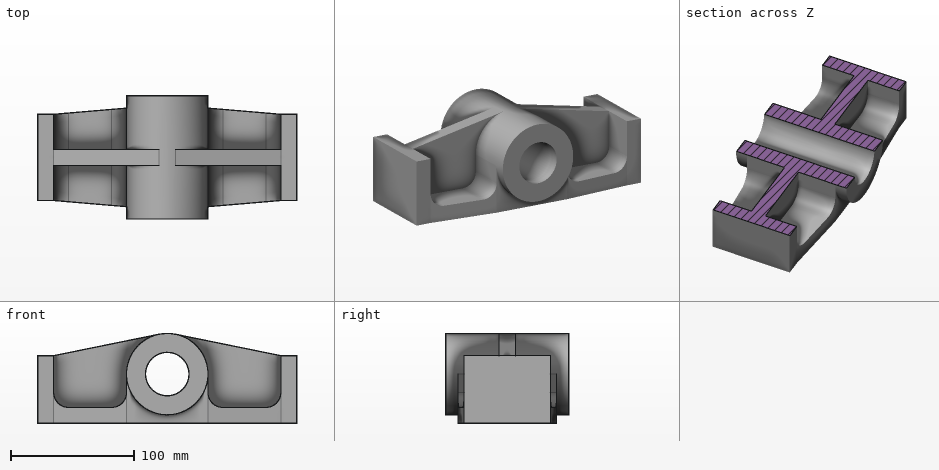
import cadquery as cq
import math

total_length = 210.0
wall = 13.0
plate_width = 70.0
plate_height = 55.0
boss_diameter = 66.0
boss_length = 100.0
bore_diameter = 35.0
bore_height = 40.0
saddle_width = 80.0
fillet_radius = 12.0

half_length = total_length / 2
plate_inner_x = half_length - wall
boss_radius = boss_diameter / 2
pocket_floor_z = wall
fillet_top_z = pocket_floor_z + fillet_radius


def cylinder_along_y(diameter, length):
    """Cylinder on the bore axis, centred on Y = 0."""
    return (
        cq.Workplane("XZ", origin=(0, length / 2, bore_height))
        .circle(diameter / 2)
        .extrude(length)
    )


def end_plate(side):
    """Upright plate at one end; side is -1 or +1."""
    return (
        cq.Workplane("XY")
        .center(side * (half_length - wall / 2), 0)
        .rect(wall, plate_width)
        .extrude(plate_height)
    )


def tapered_base():
    """Floor, saddle block and corner fillets, narrowing in plan towards the end plates."""
    fillet_mid = fillet_radius * (1 - math.sqrt(0.5))
    fillet_mid_z = pocket_floor_z + fillet_mid

    profile = (
        cq.Workplane("XZ")
        .moveTo(plate_inner_x, 0)
        .lineTo(plate_inner_x, fillet_top_z)
        .threePointArc(
            (plate_inner_x - fillet_mid, fillet_mid_z),
            (plate_inner_x - fillet_radius, pocket_floor_z),
        )
        .lineTo(boss_radius + fillet_radius, pocket_floor_z)
        .threePointArc(
            (boss_radius + fillet_mid, fillet_mid_z),
            (boss_radius, fillet_top_z),
        )
        .lineTo(boss_radius, bore_height)
        .lineTo(0, bore_height)
        .lineTo(0, 0)
        .close()
        .extrude(saddle_width / 2, both=True)
    )
    plan = (
        cq.Workplane("XY")
        .moveTo(0, saddle_width / 2)
        .lineTo(boss_radius, saddle_width / 2)
        .lineTo(plate_inner_x, plate_width / 2)
        .lineTo(plate_inner_x, -plate_width / 2)
        .lineTo(boss_radius, -saddle_width / 2)
        .lineTo(0, -saddle_width / 2)
        .close()
        .extrude(bore_height)
    )
    half_base = profile.intersect(plan)
    return half_base.union(half_base.mirror("YZ"))


def center_rib():
    """Web along Y = 0; its top slopes are tangent to the boss and its middle lies inside the boss."""
    rise = plate_height - bore_height
    corner_distance = math.hypot(plate_inner_x, rise)
    tangent_angle = math.atan2(rise, plate_inner_x) + math.acos(boss_radius / corner_distance)
    tangent_x = boss_radius * math.cos(tangent_angle)
    tangent_z = bore_height + boss_radius * math.sin(tangent_angle)

    return (
        cq.Workplane("XZ")
        .moveTo(-plate_inner_x, 0)
        .lineTo(-plate_inner_x, plate_height)
        .lineTo(-tangent_x, tangent_z)
        .lineTo(tangent_x, tangent_z)
        .lineTo(plate_inner_x, plate_height)
        .lineTo(plate_inner_x, 0)
        .close()
        .extrude(wall / 2, both=True)
    )


body = tapered_base().union(center_rib())
for side in (-1, 1):
    body = body.union(end_plate(side))
body = body.union(cylinder_along_y(boss_diameter, boss_length))

result = body.cut(cylinder_along_y(bore_diameter, boss_length))